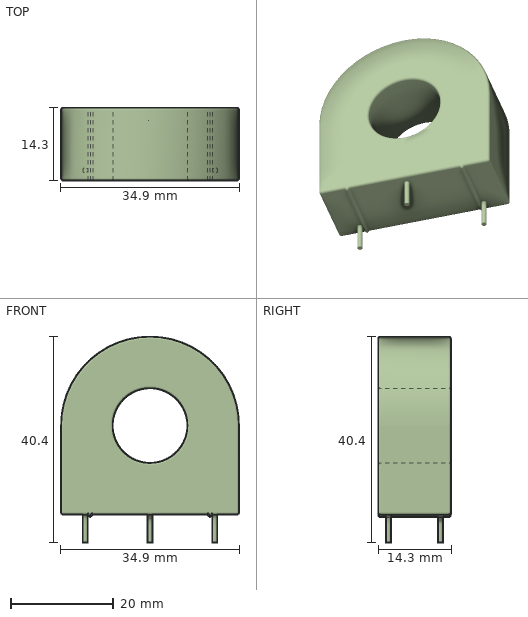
import cadquery as cq

width = 34.9
depth = 14.3
top_radius = width / 2
straight_height = width / 2
edge_radius = 0.5

bore_diameter = 14.6

ridge_x = 11.74
ridge_height = 0.5
ridge_half_width = ridge_height

pin_diameter = 1.02
pin_length = 5.5
pin_embed = 1.0
pin_x = 12.7
pin_y = 5.08
pin_positions = [(-pin_x, -pin_y), (pin_x, -pin_y), (0, pin_y)]


def extrude_through(outline):
    """Extrude an XZ outline over the full depth, centred on Y = 0."""
    return outline.extrude(depth / 2, both=True)


def make_housing():
    """Arched block with ridges and bore; base at Z = 0, all outer edges rounded."""
    half = width / 2
    outline = cq.Workplane("XZ").moveTo(-half, straight_height).lineTo(-half, 0)
    for x in (-ridge_x, ridge_x):
        outline = outline.lineTo(x - ridge_half_width, 0)
        outline = outline.lineTo(x, -ridge_height)
        outline = outline.lineTo(x + ridge_half_width, 0)
    outline = (
        outline.lineTo(half, 0)
        .lineTo(half, straight_height)
        .threePointArc((0, straight_height + top_radius), (-half, straight_height))
        .close()
    )
    bore = cq.Workplane("XZ").center(0, straight_height).circle(bore_diameter / 2)
    housing = extrude_through(outline)
    bottom_corners = cq.selectors.BoxSelector(
        (-width, -depth, -edge_radius), (width, depth, edge_radius)
    )
    outer_corners = housing.faces("<X or >X").edges("|Y").edges(bottom_corners)
    housing = outer_corners.fillet(edge_radius)
    housing = housing.cut(extrude_through(bore))
    return housing.faces("<Y or >Y").edges().fillet(edge_radius)


def make_pins():
    """Vertical pins, each running up into the housing so that it fuses with it."""
    return (
        cq.Workplane("XY", origin=(0, 0, -pin_length))
        .pushPoints(pin_positions)
        .circle(pin_diameter / 2)
        .extrude(pin_length + pin_embed)
    )


result = make_housing().union(make_pins())